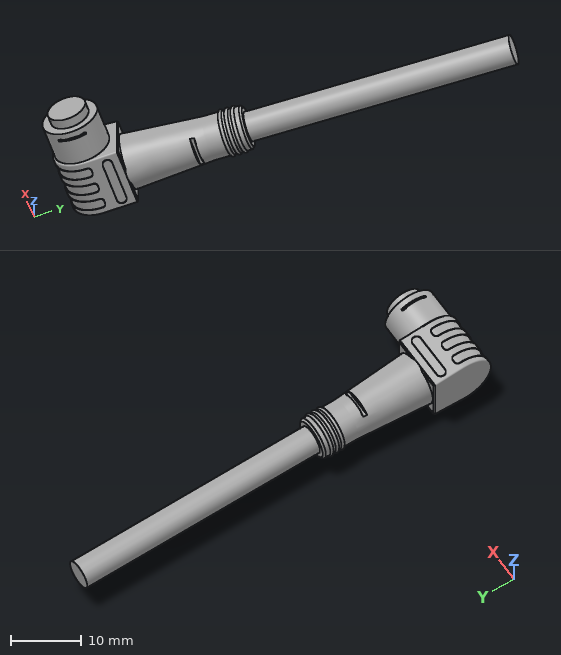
import cadquery as cq
import math


total_length = 68.0
total_width = 15.9

housing_radius = 4.5
housing_width = 9.1
housing_back_y = 5.45
flat_taper = math.radians(4)
housing_edge_fillet = 0.3
back_edge_chamfer = 0.2
nose_y = -housing_radius
wall_x = -housing_radius

cutter_height = 4 * housing_radius

groove_count = 3
groove_pitch = 2.7
groove_width = 1.5
groove_depth = 0.15
groove_end_y = 0.9
groove_corner = 0.55

slot_length = 7.6
slot_width = 1.4
slot_depth = 0.15
slot_y = 3.3

collar_diameter = 8.3
collar_end_x = 9.9
tip_diameter = 5.7
tip_end_x = wall_x + total_width
mark_x = 8.8
mark_width = 0.3
mark_half_height = 3.6

boot_base_diameter = 8.3
boot_diameter = 6.5
cone_start_y = housing_back_y - back_edge_chamfer
cone_end_y = 17.6
boot_end_y = 23.5
boot_chamfer = 0.35
ring_diameter = 7.0
ring_width = 0.55
ring_pitch = 0.95
ring_count = 3
first_ring_y = 20.25
notch_y = 15.8
notch_width = 0.6
notch_half_height = 2.5
cable_diameter = 4.4
cable_end_y = nose_y + total_length


def housing_section(inset):
    """Prism along X over the housing width, its outline moved inwards by the inset."""
    radius = housing_radius - inset
    tangent_y = radius * math.sin(flat_taper)
    tangent_z = radius * math.cos(flat_taper)
    back_z = tangent_z - (housing_back_y - tangent_y) * math.tan(flat_taper)
    return (
        cq.Workplane("YZ", origin=(wall_x, 0, 0))
        .moveTo(housing_back_y, back_z)
        .lineTo(tangent_y, tangent_z)
        .threePointArc((-radius, 0), (tangent_y, -tangent_z))
        .lineTo(housing_back_y, -back_z)
        .close()
        .extrude(housing_width)
    )


def cylinder_x(diameter, end_x):
    """Cylinder on the plug axis, from the origin to end_x."""
    return cq.Workplane("YZ").circle(diameter / 2).extrude(end_x)


def opposite_cuts(center_x, center_y, size_x, size_y, half_height):
    """Pair of boxes that remove everything above and below the given half height."""
    box = cq.Workplane("XY").box(size_x, size_y, cutter_height / 2, centered=(True, True, False))
    upper = box.translate((center_x, center_y, half_height))
    return upper.union(upper.mirror("XY"))


def make_housing():
    body = housing_section(0)
    body = body.faces("<X or >X").edges("not >Y").fillet(housing_edge_fillet)
    return body.faces(">Y").chamfer(back_edge_chamfer)


def make_groove():
    """Central grip groove, wrapped around the nose and rounded at its two ends."""
    groove_length = groove_end_y - 2 * nose_y
    return (
        cq.Workplane("XY")
        .box(groove_width, groove_length, cutter_height)
        .edges("|Z and >Y")
        .fillet(groove_corner)
        .translate((0, groove_end_y - groove_length / 2, 0))
        .cut(housing_section(groove_depth))
    )


def make_flat_slots():
    """One slot in the upper flat and one in the lower flat."""
    return (
        cq.Workplane("XY")
        .center(0, slot_y)
        .slot2D(slot_length, slot_width)
        .extrude(cutter_height / 2, both=True)
        .cut(housing_section(slot_depth))
    )


def make_plug():
    collar = cylinder_x(collar_diameter, collar_end_x)
    marks = opposite_cuts(mark_x, 0, mark_width, collar_diameter, mark_half_height)
    return collar.cut(marks).union(cylinder_x(tip_diameter, tip_end_x))


def make_boot():
    """Cone, ringed sleeve and cable as one revolved body."""
    boot_radius = boot_diameter / 2
    profile = (
        cq.Workplane("XY")
        .lineTo(boot_radius, 0)
        .lineTo(boot_radius, cone_start_y)
        .lineTo(boot_base_diameter / 2, cone_start_y)
        .lineTo(boot_radius, cone_end_y)
    )
    for index in range(ring_count):
        ring_y = first_ring_y + index * ring_pitch
        profile = profile.lineTo(boot_radius, ring_y - ring_width / 2).threePointArc(
            (ring_diameter / 2, ring_y), (boot_radius, ring_y + ring_width / 2)
        )
    boot = (
        profile.lineTo(boot_radius, boot_end_y - boot_chamfer)
        .lineTo(boot_radius - boot_chamfer, boot_end_y)
        .lineTo(cable_diameter / 2, boot_end_y)
        .lineTo(cable_diameter / 2, cable_end_y)
        .lineTo(0, cable_end_y)
        .close()
        .revolve(360, (0, 0, 0), (0, 1, 0))
    )
    return boot.cut(opposite_cuts(0, notch_y, boot_base_diameter, notch_width, notch_half_height))


housing = make_housing().cut(make_flat_slots())
groove = make_groove()
for index in range(groove_count):
    groove_x = (index - (groove_count - 1) / 2) * groove_pitch
    housing = housing.cut(groove.translate((groove_x, 0, 0)))

result = housing.union(make_plug()).union(make_boot())